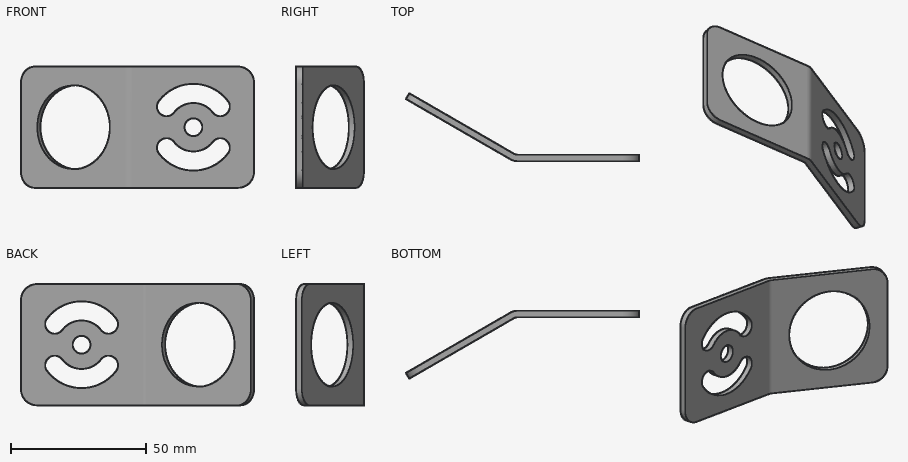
import cadquery as cq
import math

overall_length = 86.3
plate_height = 45.0
thickness = 2.5
corner_radius = 6.05

bend_angle = 30.0
inner_bend_radius = thickness
outer_bend_radius = inner_bend_radius + thickness
bend_sin = math.sin(math.radians(bend_angle))
bend_cos = math.cos(math.radians(bend_angle))
angled_length = 44.7
slotted_length = overall_length - outer_bend_radius * bend_sin - angled_length * bend_cos

opening_edge_distance = plate_height / 2
large_hole_diameter = 31.0
pivot_hole_diameter = 6.5
slot_center_radius = 12.5
slot_width = 7.0
slot_end_angle = 37.4


def make_panel(length, direction):
    """Flat panel from the bend line at X = 0, with its front face on Y = 0.

    A direction of 1 extends it towards +X, and -1 towards -X.
    """
    center_x = direction * length / 2
    free_edge = ">X" if direction > 0 else "<X"
    return (
        cq.Workplane("XY")
        .box(length, thickness, plate_height)
        .translate((center_x, thickness / 2, 0))
        .faces(free_edge)
        .edges("|Y")
        .fillet(corner_radius)
    )


def through_hole(center_x, diameter):
    return (
        cq.Workplane("XZ")
        .center(center_x, 0)
        .circle(diameter / 2)
        .extrude(-thickness)
    )


def curved_slot(center_x, side):
    """Arc slot with round ends, above (side = 1) or below (side = -1) the pivot hole."""
    inner_radius = slot_center_radius - slot_width / 2
    outer_radius = slot_center_radius + slot_width / 2
    end_x = math.cos(math.radians(slot_end_angle))
    end_z = side * math.sin(math.radians(slot_end_angle))
    band = (
        cq.Workplane("XZ")
        .center(center_x, 0)
        .moveTo(-outer_radius * end_x, outer_radius * end_z)
        .threePointArc((0, side * outer_radius), (outer_radius * end_x, outer_radius * end_z))
        .lineTo(inner_radius * end_x, inner_radius * end_z)
        .threePointArc((0, side * inner_radius), (-inner_radius * end_x, inner_radius * end_z))
        .close()
        .extrude(-thickness)
    )
    round_ends = (
        cq.Workplane("XZ")
        .center(center_x, 0)
        .pushPoints([(end * slot_center_radius * end_x, slot_center_radius * end_z) for end in (-1, 1)])
        .circle(slot_width / 2)
        .extrude(-thickness)
    )
    return band.union(round_ends)


slotted_center = slotted_length - opening_edge_distance
slotted_panel = make_panel(slotted_length, 1).cut(through_hole(slotted_center, pivot_hole_diameter))
for slot_side in (1, -1):
    slotted_panel = slotted_panel.cut(curved_slot(slotted_center, slot_side))

large_hole_center = opening_edge_distance - angled_length
angled_panel = (
    make_panel(angled_length, -1)
    .cut(through_hole(large_hole_center, large_hole_diameter))
    .rotate((0, outer_bend_radius, 0), (0, outer_bend_radius, 1), -bend_angle)
)

bend = (
    cq.Workplane("YZ")
    .center(thickness / 2, 0)
    .rect(thickness, plate_height)
    .revolve(
        bend_angle,
        (outer_bend_radius - thickness / 2, 0.9, 0),
        (outer_bend_radius - thickness / 2, 0, 0),
    )
)

result = slotted_panel.union(bend).union(angled_panel)